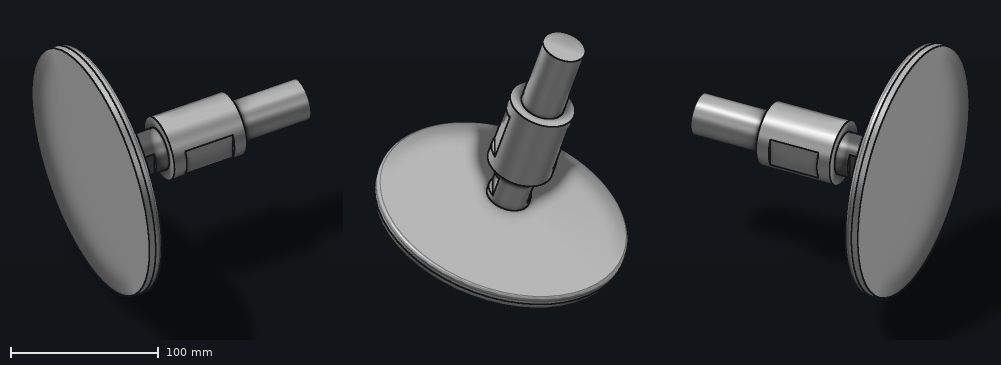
import cadquery as cq

foot_diameter = 178.0
total_length = 160.0

pad_thickness = 4.5
pad_taper = 0.7

plate_edge_height = 9.6
plate_height = 22.5
rim_fillet = 2.7

stem_diameter = 30.0
stem_flat_width = 24.0
stem_flat_start = 27.0
stem_flat_length = 15.1

collar_diameter = 46.0
collar_start = 52.2
collar_length = 55.0
collar_flat_width = 41.0
collar_flat_length = 36.1
collar_flat_start = collar_start + (collar_length - collar_flat_length) / 2

foot_radius = foot_diameter / 2
stem_radius = stem_diameter / 2


def revolve_about_y(profile_points):
    """Revolve a closed profile of (radius, Y) points about the Y axis."""
    return cq.Workplane("XY").polyline(profile_points).close().revolve(360, (0, 0, 0), (0, 1, 0))


def cylinder_along_y(diameter, start, length):
    return revolve_about_y([
        (0, start),
        (diameter / 2, start),
        (diameter / 2, start + length),
        (0, start + length),
    ])


def cut_flats(body, diameter, flat_width, start, length):
    """Cut two opposite wrench flats, facing -X and +X, into a round section."""
    cut_depth = (diameter - flat_width) / 2
    for side in (-1, 1):
        cutter = cq.Workplane("XY").box(cut_depth, length, diameter).translate(
            (side * (flat_width + cut_depth) / 2, start + length / 2, 0)
        )
        body = body.cut(cutter)
    return body


def make_pad():
    return revolve_about_y([
        (0, 0),
        (foot_radius - pad_taper, 0),
        (foot_radius, pad_thickness),
        (0, pad_thickness),
    ])


def make_plate():
    plate = revolve_about_y([
        (0, pad_thickness),
        (foot_radius, pad_thickness),
        (foot_radius, plate_edge_height),
        (stem_radius, plate_height),
        (0, plate_height),
    ])
    rim_band = cq.selectors.BoxSelector(
        (-foot_diameter, plate_edge_height - rim_fillet / 2, -foot_diameter),
        (foot_diameter, plate_edge_height + rim_fillet / 2, foot_diameter),
    )
    return plate.edges("%CIRCLE").edges(rim_band).fillet(rim_fillet)


def make_foot():
    """Plate, stem and collar as one solid."""
    stem = cylinder_along_y(stem_diameter, pad_thickness, total_length - pad_thickness)
    stem = cut_flats(stem, stem_diameter, stem_flat_width, stem_flat_start, stem_flat_length)
    collar = cylinder_along_y(collar_diameter, collar_start, collar_length)
    collar = cut_flats(collar, collar_diameter, collar_flat_width, collar_flat_start, collar_flat_length)
    return make_plate().union(stem).union(collar)


pad = make_pad()
foot = make_foot()
result = cq.Compound.makeCompound([pad.val(), foot.val()])